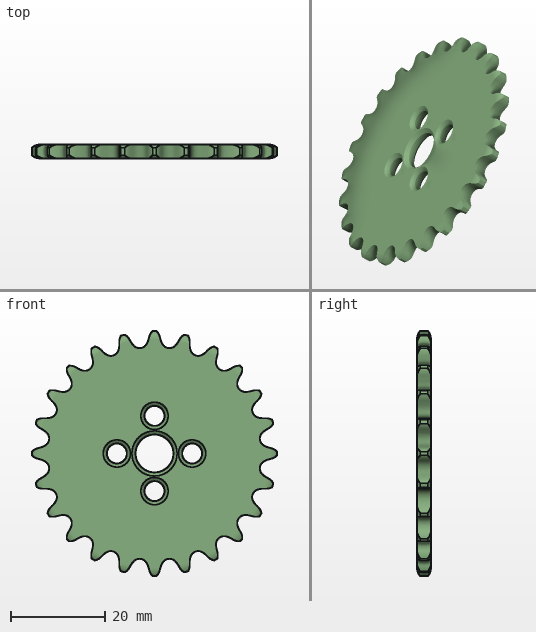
import cadquery as cq
import math

TOOTH_COUNT = 24
CHAIN_PITCH = 6.35
ROLLER_DIAMETER = 3.302
OUTER_DIAMETER = 52.12
THICKNESS = 3.0

BEVEL_HEIGHT = 1.70
BEVEL_DEPTH = 0.70

BORE_DIAMETER = 8.0
BOLT_HOLE_DIAMETER = 4.2
BOLT_CIRCLE_DIAMETER = 16.0
BOLT_COUNT = 4
COUNTERSINK_DEPTH = 0.8

SEATING_CLEARANCE = 0.0762
SEATING_RADIUS = (1.005 * ROLLER_DIAMETER + SEATING_CLEARANCE) / 2
SEATING_ANGLE = math.radians(35 + 60 / TOOTH_COUNT)
WORKING_ANGLE = math.radians(18 - 56 / TOOTH_COUNT)
WORKING_CENTER_DISTANCE = 0.8 * ROLLER_DIAMETER
TOPPING_CENTER_DISTANCE = 1.4 * ROLLER_DIAMETER

HALF_TOOTH_ANGLE = math.pi / TOOTH_COUNT
PITCH_RADIUS = CHAIN_PITCH / (2 * math.sin(HALF_TOOTH_ANGLE))
OUTER_RADIUS = OUTER_DIAMETER / 2
HALF_THICKNESS = THICKNESS / 2
WORKING_RADIUS = WORKING_CENTER_DISTANCE + SEATING_RADIUS


def offset(point, distance, angle):
    """Point at a distance from another, in the direction of an angle."""
    return (point[0] + distance * math.cos(angle), point[1] + distance * math.sin(angle))


def rotate(point, angle):
    """Point turned counterclockwise about the sprocket axis."""
    cosine = math.cos(angle)
    sine = math.sin(angle)
    return (point[0] * cosine - point[1] * sine, point[0] * sine + point[1] * cosine)


def flank_points():
    """Points of the flank to the right of a gap that is centred on the vertical axis.

    From the gap outward: the seating arc end, the middle and end of the concave working arc,
    the start, middle and end of the convex topping arc.
    """
    roller_center = (0, PITCH_RADIUS)
    working_center = offset(roller_center, WORKING_CENTER_DISTANCE, math.pi - SEATING_ANGLE)
    topping_center = offset(roller_center, TOPPING_CENTER_DISTANCE, -HALF_TOOTH_ANGLE)

    line_normal = WORKING_ANGLE - SEATING_ANGLE
    seating_end = offset(working_center, WORKING_RADIUS, -SEATING_ANGLE)
    working_middle = offset(working_center, WORKING_RADIUS, (line_normal - SEATING_ANGLE) / 2)
    working_end = offset(working_center, WORKING_RADIUS, line_normal)

    center_gap = math.dist(working_center, topping_center)
    center_direction = math.atan2(
        topping_center[1] - working_center[1], topping_center[0] - working_center[0]
    )
    topping_radius = center_gap * math.cos(center_direction - line_normal) - WORKING_RADIUS
    topping_start_angle = math.pi + line_normal
    topping_start = offset(topping_center, topping_radius, topping_start_angle)

    center_radius = math.hypot(topping_center[0], topping_center[1])
    inward_direction = math.atan2(-topping_center[1], -topping_center[0])
    cosine = (center_radius**2 + topping_radius**2 - OUTER_RADIUS**2) / (2 * center_radius * topping_radius)
    topping_end_angle = inward_direction - math.acos(cosine) + 2 * math.pi
    topping_middle_angle = (topping_start_angle + topping_end_angle) / 2
    topping_middle = offset(topping_center, topping_radius, topping_middle_angle)
    topping_end = offset(topping_center, topping_radius, topping_end_angle)
    return seating_end, working_middle, working_end, topping_start, topping_middle, topping_end


def mirrored(point):
    """Point mirrored about the vertical axis."""
    return (-point[0], point[1])


def toothed_blank():
    """Flat plate with the full tooth outline, traced clockwise one gap and one tooth at a time."""
    seating_end, working_middle, working_end, topping_start, topping_middle, topping_end = flank_points()
    seating_bottom = (0, PITCH_RADIUS - SEATING_RADIUS)
    tooth_step = 2 * HALF_TOOTH_ANGLE

    outline = cq.Workplane("XZ", origin=(0, HALF_THICKNESS, 0))
    outline = outline.moveTo(*rotate(mirrored(topping_end), HALF_TOOTH_ANGLE))
    for gap in range(TOOTH_COUNT):
        gap_angle = HALF_TOOTH_ANGLE - tooth_step * gap

        def left(point):
            return rotate(mirrored(point), gap_angle)

        def right(point):
            return rotate(point, gap_angle)

        tooth_tip = rotate((0, OUTER_RADIUS), gap_angle - HALF_TOOTH_ANGLE)
        next_tooth_end = rotate(mirrored(topping_end), gap_angle - tooth_step)
        outline = (
            outline.threePointArc(left(topping_middle), left(topping_start))
            .lineTo(*left(working_end))
            .threePointArc(left(working_middle), left(seating_end))
            .threePointArc(right(seating_bottom), right(seating_end))
            .threePointArc(right(working_middle), right(working_end))
            .lineTo(*right(topping_start))
            .threePointArc(right(topping_middle), right(topping_end))
            .threePointArc(tooth_tip, next_tooth_end)
        )
    return outline.close().extrude(THICKNESS)


def beveled_envelope():
    """Disc whose rim thins along an arc that is tangent to each face."""
    bevel_radius = (BEVEL_HEIGHT**2 + BEVEL_DEPTH**2) / (2 * BEVEL_DEPTH)
    bevel_sweep = math.asin(BEVEL_HEIGHT / bevel_radius)
    bevel_start = OUTER_RADIUS - BEVEL_HEIGHT
    middle_x = bevel_start + bevel_radius * math.sin(bevel_sweep / 2)
    middle_y = HALF_THICKNESS - bevel_radius * (1 - math.cos(bevel_sweep / 2))
    rim_half_width = HALF_THICKNESS - BEVEL_DEPTH
    return (
        cq.Workplane("XY")
        .moveTo(0, -HALF_THICKNESS)
        .lineTo(bevel_start, -HALF_THICKNESS)
        .threePointArc((middle_x, -middle_y), (OUTER_RADIUS, -rim_half_width))
        .lineTo(OUTER_RADIUS, rim_half_width)
        .threePointArc((middle_x, middle_y), (bevel_start, HALF_THICKNESS))
        .lineTo(0, HALF_THICKNESS)
        .close()
        .revolve(360, (0, 0, 0), (0, 1, 0))
    )


def countersunk_hole(diameter, x, z):
    """Cutter for a through hole with a 45 degree countersink on both faces."""
    radius = diameter / 2
    mouth_radius = radius + COUNTERSINK_DEPTH
    land_half_width = HALF_THICKNESS - COUNTERSINK_DEPTH
    cutter = (
        cq.Workplane("XY")
        .polyline([
            (0, -HALF_THICKNESS),
            (mouth_radius, -HALF_THICKNESS),
            (radius, -land_half_width),
            (radius, land_half_width),
            (mouth_radius, HALF_THICKNESS),
            (0, HALF_THICKNESS),
        ])
        .close()
        .revolve(360, (0, 0, 0), (0, 1, 0))
    )
    return cutter.translate((x, 0, z))


def bolt_holes():
    """Cutters for the bolt holes, the first of them on the +X axis."""
    cutters = []
    for index in range(BOLT_COUNT):
        x, z = offset((0, 0), BOLT_CIRCLE_DIAMETER / 2, 2 * math.pi * index / BOLT_COUNT)
        cutters.append(countersunk_hole(BOLT_HOLE_DIAMETER, x, z))
    return cutters


result = toothed_blank().intersect(beveled_envelope())
result = result.cut(countersunk_hole(BORE_DIAMETER, 0, 0))
for bolt_hole in bolt_holes():
    result = result.cut(bolt_hole)